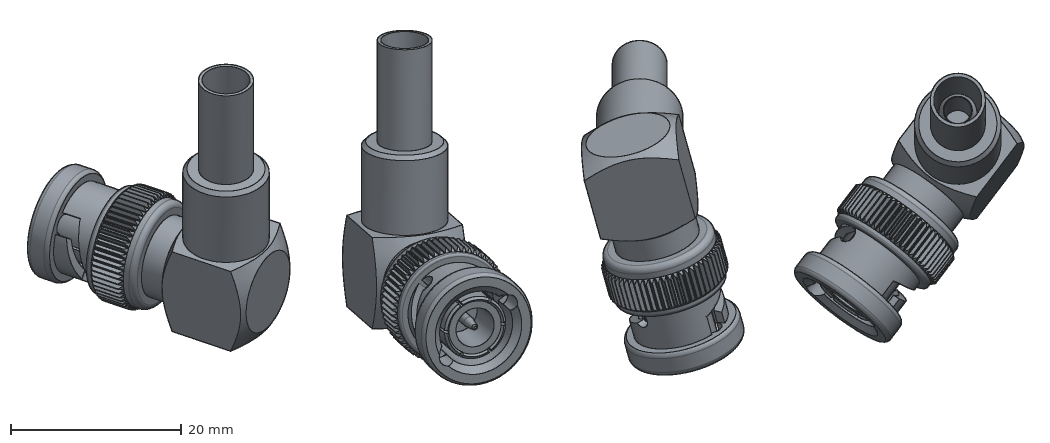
import cadquery as cq
import math


block_side = 11.45
block_half = block_side / 2
neck_radius = 5.1
corner_cone_angle = 30
boss_radius = neck_radius
boss_top = 15.63
boss_chamfer = 0.5

nipple_radius = 2.25
nipple_tip_radius = 1.7
nipple_bore_radius = 1.6
nipple_top = 22.8
nipple_cone_height = 1.07

ferrule_radius = 3.25
ferrule_bore_radius = 2.8
ferrule_length = 12.75

nut_front = -23.18
collar_radius = 7.0
collar_length = 3.03
collar_edge_length = 0.57
collar_edge_drop = 0.35
sleeve_radius = block_half
flange_front = -15.25
flange_back = -8.55
flange_radius = 6.75
flange_front_fillet = 0.32
flange_back_fillet = 0.75
collar_back = nut_front + collar_length

knurl_front = -14.45
knurl_back = -10.05
knurl_width = 14.45
knurl_root_radius = 6.65
tooth_count = 60
knurl_radius = knurl_width / 2 / math.cos(math.pi / tooth_count)
tooth_tip_width = 0.1

recess_radius = 5.5
recess_depth = 0.75
nut_bore_radius = 4.63
inner_step_radius = 4.27
inner_step_front = -14.25
gap_back = -11.75

entry_angle = 36
channel_radius = 1.2
channel_offset = nut_bore_radius
entry_width = 2.67
slot_end_angle = -46
slot_lead = 0.0275
slot_axial_width = 1.67
slot_middle_x = -17.2
detent_radius = 1.05
detent_x = -16.35

contact_radius = 3.88
contact_tip_radius = 3.55
contact_front = -22.35
contact_mouth_depth = 0.25
contact_taper_length = 0.25
slit_count = 6
slit_width = 0.32
insulator_radius = 3.3
insulator_bore_radius = 2.42
insulator_bore_depth = 5.35
pin_radius = 0.65
pin_tip_radius = 0.18
pin_shoulder_radius = 0.35
pin_nose_length = 0.18
pin_taper_length = 1.78
pin_front = -22.18

insulator_front = contact_front + contact_mouth_depth


def turned(points):
    """Solid of revolution about the X axis from (x, radius) points."""
    return cq.Workplane("XY").polyline(points).close().revolve(360, (0, 0, 0), (1, 0, 0))


def x_cylinder(radius, start, end):
    return cq.Workplane("YZ", origin=(start, 0, 0)).circle(radius).extrude(end - start)


def z_cylinder(radius, bottom, top):
    return cq.Workplane("XY", origin=(0, 0, bottom)).circle(radius).extrude(top - bottom)


def polar(radius, angle):
    """Point in the YZ plane; the angle rises from -Y toward +Z."""
    turn = math.radians(angle)
    return (-radius * math.cos(turn), radius * math.sin(turn))


def sector(inner_radius, outer_radius, low_angle, high_angle):
    """Slice of a ring in the YZ plane, at the back face of the collar."""
    middle_angle = (low_angle + high_angle) / 2
    return (
        cq.Workplane("YZ", origin=(collar_back, 0, 0))
        .moveTo(*polar(inner_radius, low_angle))
        .lineTo(*polar(outer_radius, low_angle))
        .threePointArc(polar(outer_radius, middle_angle), polar(outer_radius, high_angle))
        .lineTo(*polar(inner_radius, high_angle))
        .threePointArc(polar(inner_radius, middle_angle), polar(inner_radius, low_angle))
        .close()
    )


def elbow():
    """Cube whose corners at both X ends are turned off by cones about the X axis."""
    cube = cq.Workplane("XY").box(block_side, block_side, block_side)
    corner_radius = block_side
    cone_length = (corner_radius - neck_radius) * math.tan(math.radians(corner_cone_angle))
    envelope = turned([
        (-block_half, 0),
        (-block_half, neck_radius),
        (-block_half + cone_length, corner_radius),
        (block_half - cone_length, corner_radius),
        (block_half, neck_radius),
        (block_half, 0),
    ])
    return cube.intersect(envelope)


def cable_boss():
    boss = z_cylinder(boss_radius, 0, boss_top)
    return boss.faces(">Z").chamfer(boss_chamfer)


def crimp_nipple():
    return (
        cq.Workplane("XZ")
        .moveTo(nipple_bore_radius, boss_top)
        .lineTo(nipple_radius, boss_top)
        .lineTo(nipple_radius, nipple_top - nipple_cone_height)
        .lineTo(nipple_tip_radius, nipple_top)
        .lineTo(nipple_bore_radius, nipple_top)
        .close()
        .revolve(360, (0, 0, 0), (0, 1, 0))
    )


def collar():
    """Front ring of the nut with both outer edges rounded over."""
    edge_radius = collar_radius - collar_edge_drop
    mid_radius = collar_radius - collar_edge_drop / 4
    return (
        cq.Workplane("XY")
        .moveTo(nut_front, 0)
        .lineTo(nut_front, edge_radius)
        .threePointArc(
            (nut_front + collar_edge_length / 2, mid_radius),
            (nut_front + collar_edge_length, collar_radius),
        )
        .lineTo(collar_back - collar_edge_length, collar_radius)
        .threePointArc((collar_back - collar_edge_length / 2, mid_radius), (collar_back, edge_radius))
        .lineTo(collar_back, 0)
        .close()
        .revolve(360, (0, 0, 0), (1, 0, 0))
    )


def knurl():
    """Ring of pointed teeth, with both ends bevelled at 45 degrees."""
    pitch = 360 / tooth_count
    half_tip = math.degrees(tooth_tip_width / 2 / knurl_radius)
    outline = []
    for tooth in range(tooth_count):
        valley = tooth * pitch
        crest = valley + pitch / 2
        outline.append(polar(knurl_root_radius, valley))
        outline.append(polar(knurl_radius, crest - half_tip))
        outline.append(polar(knurl_radius, crest + half_tip))
    teeth = (
        cq.Workplane("YZ", origin=(knurl_front, 0, 0))
        .polyline(outline)
        .close()
        .extrude(knurl_back - knurl_front)
    )
    bevel = knurl_radius - flange_radius
    envelope = turned([
        (knurl_front, 0),
        (knurl_front, flange_radius),
        (knurl_front + bevel, knurl_radius),
        (knurl_back - bevel, knurl_radius),
        (knurl_back, flange_radius),
        (knurl_back, 0),
    ])
    return teeth.intersect(envelope)


def nut_outside():
    flange = (
        x_cylinder(flange_radius, flange_front, flange_back)
        .faces("<X").edges().fillet(flange_front_fillet)
        .faces(">X").edges().fillet(flange_back_fillet)
    )
    sleeve = x_cylinder(sleeve_radius, collar_back, flange_front)
    return collar().union(sleeve).union(flange).union(knurl())


def nut_cavity():
    """Flared mouth and stepped bore of the nut."""
    return turned([
        (nut_front, 0),
        (nut_front, recess_radius),
        (nut_front + recess_depth, nut_bore_radius),
        (inner_step_front, nut_bore_radius),
        (inner_step_front, inner_step_radius),
        (gap_back, inner_step_radius),
        (gap_back, 0),
    ])


def entry_channel():
    """Round groove that lets a bayonet stud pass through the collar."""
    return (
        x_cylinder(channel_radius, nut_front, collar_back)
        .translate((0, -channel_offset, 0))
        .rotate((0, 0, 0), (1, 0, 0), -entry_angle)
    )


def bayonet_slot():
    """Straight entry, helical ramp and round detent cut through the sleeve of the nut."""
    cut_radius = (sleeve_radius + flange_radius) / 2
    start_radius = (contact_radius + nut_bore_radius) / 2
    entry_high = entry_angle + math.degrees(math.asin(entry_width / 2 / sleeve_radius))
    sleeve_length = flange_front - collar_back

    entry_end = slot_middle_x - slot_lead * entry_high + slot_axial_width / 2
    entry = (
        cq.Workplane("XY")
        .box(entry_end - collar_back, cut_radius, entry_width, centered=(False, False, True))
        .translate((collar_back, -cut_radius, 0))
        .rotate((0, 0, 0), (1, 0, 0), -entry_angle)
    )

    ramp_half_angle = slot_axial_width / slot_lead / 2
    front_angle = (slot_middle_x - collar_back) / slot_lead
    twisted = (
        sector(start_radius, cut_radius, front_angle - ramp_half_angle, front_angle + ramp_half_angle)
        .twistExtrude(sleeve_length, sleeve_length / slot_lead)
    )
    limits = sector(contact_radius, flange_radius, slot_end_angle, entry_high).extrude(sleeve_length)
    ramp = twisted.intersect(limits)

    detent = (
        cq.Workplane("XZ", origin=(detent_x, 0, 0))
        .circle(detent_radius)
        .extrude(cut_radius)
        .rotate((0, 0, 0), (1, 0, 0), -slot_end_angle)
    )
    return entry.union(ramp).union(detent)


def contact_sleeve():
    """Thin sleeve with a pointed front rim, split lengthwise into spring fingers."""
    sleeve = turned([
        (contact_front, contact_tip_radius),
        (contact_front + contact_taper_length, contact_radius),
        (gap_back, contact_radius),
        (gap_back, insulator_radius),
        (insulator_front, insulator_radius),
    ])
    slit_length = inner_step_front - contact_front
    for index in range(slit_count):
        slit = (
            cq.Workplane("XY")
            .box(slit_length, contact_radius, slit_width, centered=(False, False, True))
            .translate((contact_front, 0, 0))
            .rotate((0, 0, 0), (1, 0, 0), index * 360 / slit_count)
        )
        sleeve = sleeve.cut(slit)
    return sleeve


def insulator():
    core = x_cylinder(insulator_radius, insulator_front, gap_back)
    bore = x_cylinder(insulator_bore_radius, insulator_front, insulator_front + insulator_bore_depth)
    return core.cut(bore)


def centre_pin():
    return turned([
        (pin_front, 0),
        (pin_front, pin_tip_radius),
        (pin_front + pin_nose_length, pin_shoulder_radius),
        (pin_front + pin_nose_length + pin_taper_length, pin_radius),
        (gap_back, pin_radius),
        (gap_back, 0),
    ])


def make_connector():
    nut = nut_outside().cut(nut_cavity())
    for half_turn in (0, 180):
        nut = nut.cut(entry_channel().rotate((0, 0, 0), (1, 0, 0), half_turn))
        nut = nut.cut(bayonet_slot().rotate((0, 0, 0), (1, 0, 0), half_turn))
    neck = x_cylinder(neck_radius, flange_back, -block_half)
    shell = elbow().union(neck).union(cable_boss()).union(crimp_nipple()).union(nut)
    return shell.union(insulator()).union(contact_sleeve()).union(centre_pin())


def make_ferrule():
    outside = z_cylinder(ferrule_radius, boss_top, boss_top + ferrule_length)
    return outside.cut(z_cylinder(ferrule_bore_radius, boss_top, boss_top + ferrule_length))


connector = make_connector()
ferrule = make_ferrule()
result = cq.Compound.makeCompound([connector.val(), ferrule.val()])